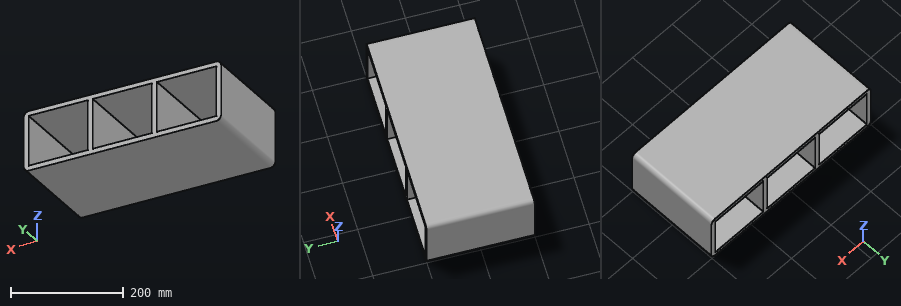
import cadquery as cq

length = 401.5
depth = 200.0
height = 121.0

outer_wall = 10.0
corner_radius = 10.0
divider = 10.0

compartment_count = 3
inner_length = length - 2 * outer_wall
compartment_width = (inner_length - (compartment_count - 1) * divider) / compartment_count
compartment_height = height - 2 * outer_wall
compartment_pitch = compartment_width + divider


def outer_block():
    """Solid block with its four long edges along Y rounded."""
    return cq.Workplane("XY").box(length, depth, height).edges("|Y").fillet(corner_radius)


def compartment(index):
    """Rectangular opening running through the full depth."""
    x_center = (index - (compartment_count - 1) / 2) * compartment_pitch
    opening = cq.Workplane("XY").box(compartment_width, depth, compartment_height)
    return opening.translate((x_center, 0, 0))


result = outer_block()
for i in range(compartment_count):
    result = result.cut(compartment(i))